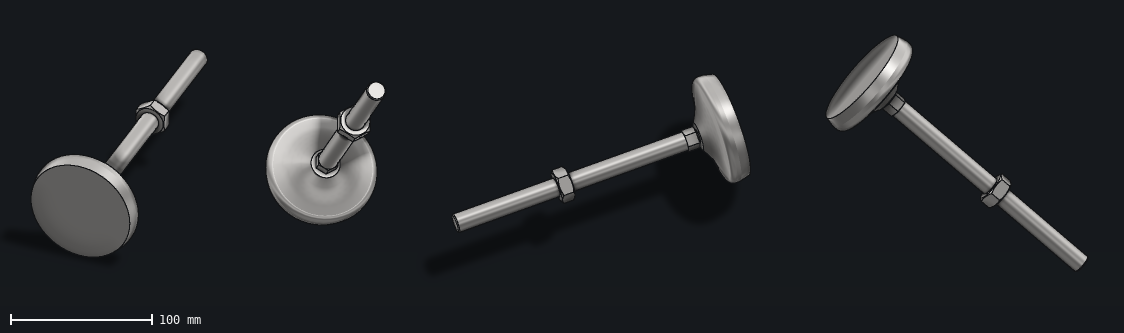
import cadquery as cq
import math

total_length = 210.0

base_diameter = 80.0
sole_diameter = 76.5
band_bottom = 7.5
band_top = 10.7
rim_corner_radius = 4.2
base_height = 24.8
collar_diameter = 22.3
collar_chamfer = 0.6
flare_mid_radius = 21.0
flare_mid_height = 19.0

rod_diameter = 14.0
rod_chamfer = 0.8
neck_diameter = 10.0
wrench_hex_start = 26.0
wrench_hex_length = 8.8

nut_across_flats = 22.0
nut_start = 122.6
nut_height = 10.0
nut_face_diameter = 21.0
nut_chamfer_angle = 30.0


def cylinder(diameter, start, length):
    """Cylinder along +Y, beginning at the given height."""
    return cq.Workplane("XZ", origin=(0, start, 0)).circle(diameter / 2).extrude(-length)


def hexagon(across_flats, start, length):
    """Hexagonal prism along +Y with flats facing +X and -X."""
    across_corners = across_flats / math.cos(math.radians(30))
    return (
        cq.Workplane("XZ", origin=(0, start, 0))
        .transformed(rotate=(0, 0, 90))
        .polygon(6, across_corners)
        .extrude(-length)
    )


def make_base():
    """Revolved foot: tapered sole, straight band, rounded rim and concave flare."""
    base_radius = base_diameter / 2
    collar_radius = collar_diameter / 2
    rim_center_radius = base_radius - rim_corner_radius
    rim_diagonal = rim_corner_radius * math.sqrt(0.5)
    rim_mid = (rim_center_radius + rim_diagonal, band_top + rim_diagonal)
    return (
        cq.Workplane("XY")
        .lineTo(sole_diameter / 2, 0)
        .lineTo(base_radius, band_bottom)
        .lineTo(base_radius, band_top)
        .threePointArc(rim_mid, (rim_center_radius, band_top + rim_corner_radius))
        .threePointArc(
            (flare_mid_radius, flare_mid_height),
            (collar_radius, base_height - collar_chamfer),
        )
        .lineTo(collar_radius - collar_chamfer, base_height)
        .lineTo(0, base_height)
        .close()
        .revolve(360, (0, 0), (0, 1))
    )


def make_stud():
    """Neck, wrench hexagon and rod with a chamfered free end."""
    rod_start = wrench_hex_start + wrench_hex_length
    neck = cylinder(neck_diameter, base_height, wrench_hex_start - base_height)
    wrench_hex = hexagon(rod_diameter, wrench_hex_start, wrench_hex_length)
    rod = cylinder(rod_diameter, rod_start, total_length - rod_start)
    rod = rod.faces(">Y").chamfer(rod_chamfer)
    return neck.union(wrench_hex).union(rod)


def make_nut():
    """Hexagonal nut whose corners are trimmed by a cone at both ends."""
    nut_end = nut_start + nut_height
    face_radius = nut_face_diameter / 2
    corner_radius = nut_across_flats / 2 / math.cos(math.radians(30))
    chamfer_depth = (corner_radius - face_radius) * math.tan(math.radians(nut_chamfer_angle))
    envelope = (
        cq.Workplane("XY")
        .moveTo(0, nut_start)
        .lineTo(face_radius, nut_start)
        .lineTo(corner_radius, nut_start + chamfer_depth)
        .lineTo(corner_radius, nut_end - chamfer_depth)
        .lineTo(face_radius, nut_end)
        .lineTo(0, nut_end)
        .close()
        .revolve(360, (0, 0), (0, 1))
    )
    return hexagon(nut_across_flats, nut_start, nut_height).intersect(envelope)


result = make_base().union(make_stud()).union(make_nut())